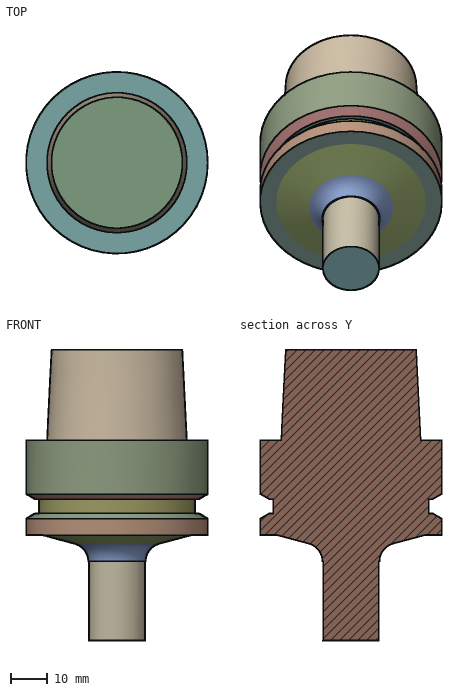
import cadquery as cq
import math

total_length = 79.9
taper_height = 24.85
upper_flange_height = 14.8
groove_width = 6.7
lower_flange_height = 4.55
neck_cone_height = 2.4

taper_top_diameter = 35.95
taper_base_diameter = 38.4
flange_diameter = 49.9
groove_diameter = 43.0
neck_diameter = 15.8
shank_diameter = 15.4

flank_height = 1.4
flank_angle = math.radians(30)

blend_radius = 4.95
cone_angle = math.radians(15)

groove_top = -upper_flange_height
groove_bottom = groove_top - groove_width
flange_bottom = groove_bottom - lower_flange_height
cone_bottom = flange_bottom - neck_cone_height
neck_bottom = cone_bottom - blend_radius * math.cos(cone_angle)
shank_tip = taper_height - total_length

flange_radius = flange_diameter / 2
groove_radius = groove_diameter / 2
flank_inner_radius = flange_radius - flank_height / math.tan(flank_angle)
neck_radius = neck_diameter / 2
blend_center_radius = neck_radius + blend_radius
cone_inner_radius = blend_center_radius - blend_radius * math.sin(cone_angle)
cone_outer_radius = cone_inner_radius + neck_cone_height / math.tan(cone_angle)

blend_mid_angle = (math.pi / 2 - cone_angle) / 2
blend_mid_radius = blend_center_radius - blend_radius * math.cos(blend_mid_angle)
blend_mid_height = neck_bottom + blend_radius * math.sin(blend_mid_angle)


def half_profile():
    """Closed outline of one side of the holder, as radius and height."""
    return (
        cq.Workplane("XZ")
        .moveTo(0, taper_height)
        .lineTo(taper_top_diameter / 2, taper_height)
        .lineTo(taper_base_diameter / 2, 0)
        .lineTo(flange_radius, 0)
        .lineTo(flange_radius, groove_top)
        .lineTo(flank_inner_radius, groove_top - flank_height)
        .lineTo(groove_radius, groove_top - flank_height)
        .lineTo(groove_radius, groove_bottom + flank_height)
        .lineTo(flank_inner_radius, groove_bottom + flank_height)
        .lineTo(flange_radius, groove_bottom)
        .lineTo(flange_radius, flange_bottom)
        .lineTo(cone_outer_radius, flange_bottom)
        .lineTo(cone_inner_radius, cone_bottom)
        .threePointArc((blend_mid_radius, blend_mid_height), (neck_radius, neck_bottom))
        .lineTo(shank_diameter / 2, neck_bottom)
        .lineTo(shank_diameter / 2, shank_tip)
        .lineTo(0, shank_tip)
        .close()
    )


result = half_profile().revolve(360, (0, 0, 0), (0, 1, 0))